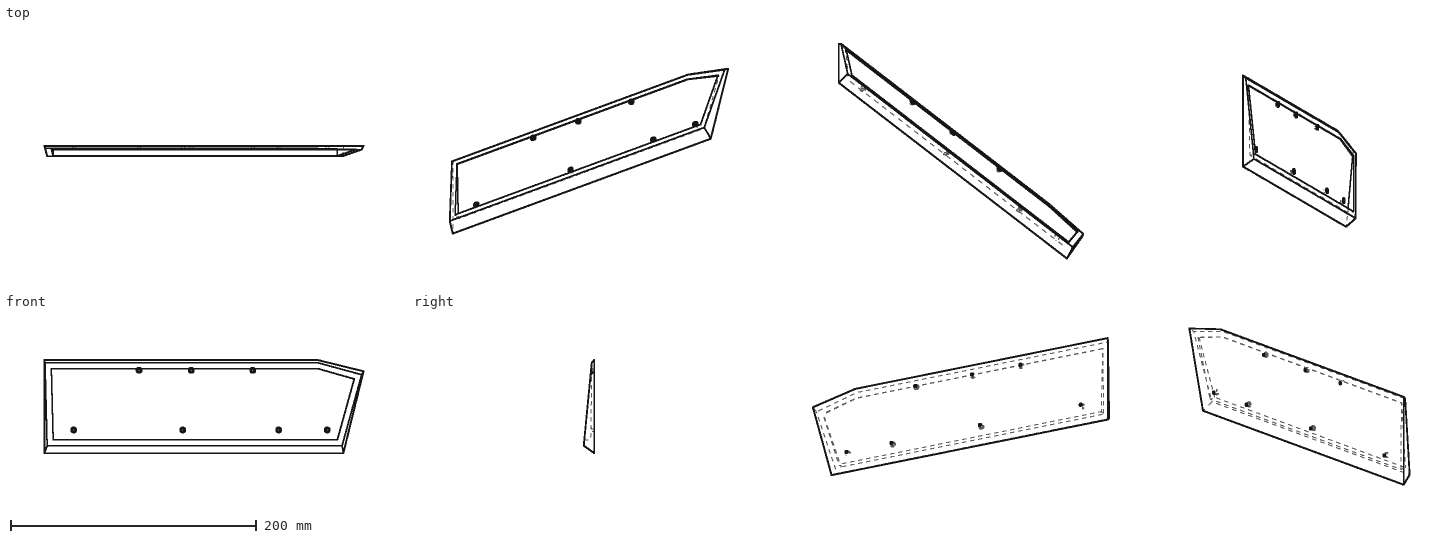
import cadquery as cq
import math


def tangent(angle):
    return math.tan(math.radians(angle))


length = 259.68
height = 76.0
depth = 8.72

shoulder_x = 222.2
tip_z = 66.8
bottom_right_x = 243.2
back_outline = [
    (0, 0),
    (bottom_right_x, 0),
    (length, tip_z),
    (shoulder_x, height),
    (0, height),
]

bottom_draft = 35.5
right_draft = 16.2
top_draft = 45.0
left_draft = 14.8
edge_drafts = [bottom_draft, right_draft, top_draft, top_draft, left_draft]

front_bottom_z = depth * tangent(bottom_draft)
front_top_depth = 2.22
front_top_z = height - front_top_depth * tangent(top_draft)
front_slope = (depth - front_top_depth) / (front_top_z - front_bottom_z)
front_angle = math.degrees(math.atan(front_slope))

floor_angle = 0.88
pocket_left_top_x = 5.7
pocket_left_bottom_x = 7.2
pocket_right_bottom_x = 238.3
pocket_right_top_x = 252.0
pocket_shoulder_x = 222.7
pocket_bottom_z = 11.2
pocket_top_z = 68.8
pocket_tip_z = 60.5
pocket_outline = [
    (pocket_left_bottom_x, pocket_bottom_z),
    (pocket_right_bottom_x, pocket_bottom_z),
    (pocket_right_top_x, pocket_tip_z),
    (pocket_shoulder_x, pocket_top_z),
    (pocket_left_top_x, pocket_top_z),
]

counterbore_diameter = 4.2
bore_diameter = 2.2
counterbore_depth = 0.7
lower_row_z = 19.0
upper_row_z = 67.5
lower_row_x = [23.8, 112.6, 190.5, 230.0]
upper_row_x = [77.0, 119.5, 169.5]


def outside_wedge(start, end, draft):
    """Material outside the leaning side face that stands on one back edge."""
    run_x = end[0] - start[0]
    run_z = end[1] - start[1]
    edge_length = math.hypot(run_x, run_z)
    overrun = 2 * depth
    origin_x = start[0] - overrun * run_x / edge_length
    origin_z = start[1] - overrun * run_z / edge_length
    plane = cq.Plane(origin=(origin_x, 0, origin_z), xDir=(0, -1, 0), normal=(run_x, 0, run_z))
    inset = overrun * tangent(draft)
    profile = cq.Workplane(plane).polyline([(0, 0), (overrun, 0), (overrun, -inset)]).close()
    return profile.extrude(edge_length + 2 * overrun)


def panel_blank():
    """Back outline extruded forward, cut to the sloping front and the leaning sides."""
    blank = cq.Workplane("XZ").polyline(back_outline).close().extrude(depth)
    depth_at_height = depth - front_slope * (height - front_bottom_z)
    front_waste = (
        cq.Workplane("YZ")
        .polyline([(-depth, front_bottom_z), (-depth, height), (-depth_at_height, height)])
        .close()
        .extrude(length)
    )
    blank = blank.cut(front_waste)
    edge_ends = back_outline[1:] + back_outline[:1]
    for start, end, draft in zip(back_outline, edge_ends, edge_drafts):
        blank = blank.cut(outside_wedge(start, end, draft))
    return blank


def pocket():
    """Outline on the front face, swung inward about the top edge of that face."""
    lean = math.radians(front_angle)
    front_plane = cq.Plane(
        origin=(0, -front_top_depth, front_top_z),
        xDir=(1, 0, 0),
        normal=(0, -math.cos(lean), math.sin(lean)),
    )
    points = [(x, (z - front_top_z) / math.cos(lean)) for x, z in pocket_outline]
    sketch = cq.Workplane(front_plane).polyline(points).close()
    return sketch.revolve(front_angle - floor_angle, (0, 0), (1, 0))


def screw_hole(x, z):
    """Through hole along Y with a counterbore sunk from the pocket floor."""
    mouth_depth = front_top_depth + (front_top_z - z) * tangent(floor_angle)
    seat = mouth_depth - counterbore_depth
    back_plane = cq.Workplane("XZ", origin=(x, 0, z))
    bore = back_plane.circle(bore_diameter / 2).extrude(depth)
    counterbore = back_plane.workplane(offset=seat).circle(counterbore_diameter / 2).extrude(depth)
    return bore.union(counterbore)


result = panel_blank().cut(pocket())
for hole_x in lower_row_x:
    result = result.cut(screw_hole(hole_x, lower_row_z))
for hole_x in upper_row_x:
    result = result.cut(screw_hole(hole_x, upper_row_z))